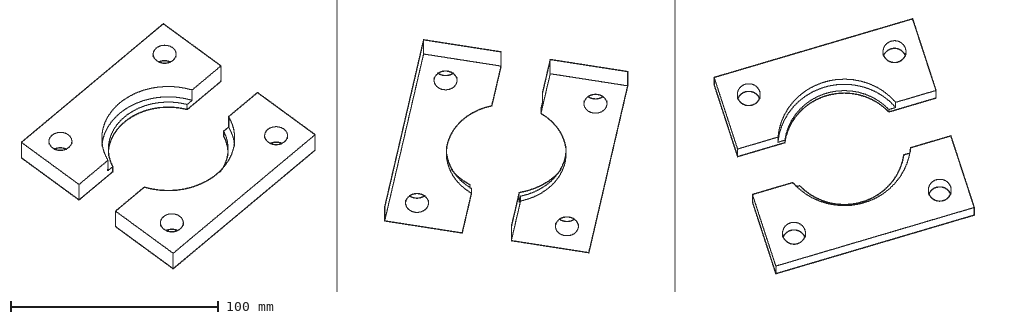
import cadquery as cq

side = 100.0
thickness = 12.0
split_gap = 24.0
half_width = (side - split_gap) / 2

seat_diameter = 64.0
bore_diameter = 57.6
lip_height = 4.0

hole_diameter = 11.0
hole_spacing = 73.4


def clamp_half(direction):
    """One half of the split ring clamp, on the +X (1) or -X (-1) side."""
    center_x = direction * (split_gap + half_width) / 2
    block = (
        cq.Workplane("XY")
        .center(center_x, 0)
        .rect(half_width, side)
        .extrude(thickness)
    )
    bore = cq.Workplane("XY").circle(bore_diameter / 2).extrude(thickness)
    seat = (
        cq.Workplane("XY")
        .workplane(offset=lip_height)
        .circle(seat_diameter / 2)
        .extrude(thickness - lip_height)
    )
    hole_x = direction * hole_spacing / 2
    bolt_holes = (
        cq.Workplane("XY")
        .pushPoints([(hole_x, -hole_spacing / 2), (hole_x, hole_spacing / 2)])
        .circle(hole_diameter / 2)
        .extrude(thickness)
    )
    return block.cut(bore).cut(seat).cut(bolt_holes)


clamp_halves = [clamp_half(direction) for direction in (-1, 1)]

result = cq.Compound.makeCompound([half.val() for half in clamp_halves])